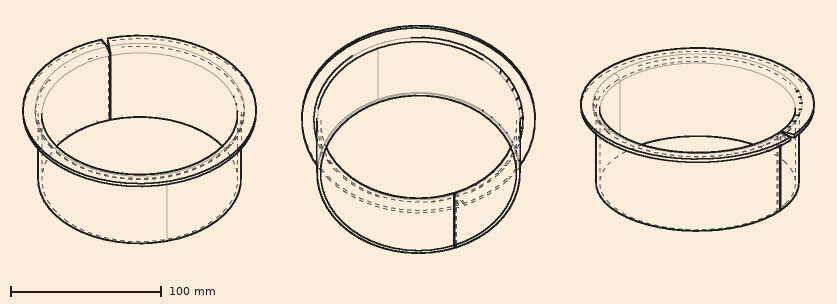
import cadquery as cq

flange_diameter = 155.0
sleeve_diameter = 135.0
height = 60.0
wall = 2.5
outer_bend_radius = 2.0
bottom_edge_round = 0.5

split_angle = 2.0
split_width = 0.8
notch_mouth_width = 4.2

flange_radius = flange_diameter / 2
sleeve_radius = sleeve_diameter / 2
bore_radius = sleeve_radius - wall
inner_bend_radius = wall + outer_bend_radius
flange_underside = height - wall


def flanged_sleeve():
    """Thin sleeve bent outward into a flat flange at the top, with concentric bend radii."""
    profile = (
        cq.Workplane("XZ")
        .moveTo(bore_radius, 0)
        .lineTo(sleeve_radius - bottom_edge_round, 0)
        .radiusArc((sleeve_radius, bottom_edge_round), -bottom_edge_round)
        .lineTo(sleeve_radius, flange_underside - outer_bend_radius)
        .radiusArc((sleeve_radius + outer_bend_radius, flange_underside), outer_bend_radius)
        .lineTo(flange_radius, flange_underside)
        .lineTo(flange_radius, height)
        .lineTo(bore_radius + inner_bend_radius, height)
        .radiusArc((bore_radius, height - inner_bend_radius), -inner_bend_radius)
        .close()
    )
    return profile.revolve(360, (0, 0, 0), (0, 1, 0))


def split_cutter():
    """Narrow slit through the wall that flares into a V across the flange."""
    cut_start = bore_radius - wall
    cut_end = flange_radius + wall
    flare_slope = (notch_mouth_width - split_width) / 2 / (flange_radius - sleeve_radius)
    end_half_width = split_width / 2 + flare_slope * (cut_end - sleeve_radius)
    half_split = split_width / 2
    outline = [
        (-cut_start, half_split),
        (-sleeve_radius, half_split),
        (-cut_end, end_half_width),
        (-cut_end, -end_half_width),
        (-sleeve_radius, -half_split),
        (-cut_start, -half_split),
    ]
    cutter = cq.Workplane("XY").polyline(outline).close().extrude(height)
    return cutter.rotate((0, 0, 0), (0, 0, 1), split_angle)


result = flanged_sleeve().cut(split_cutter())